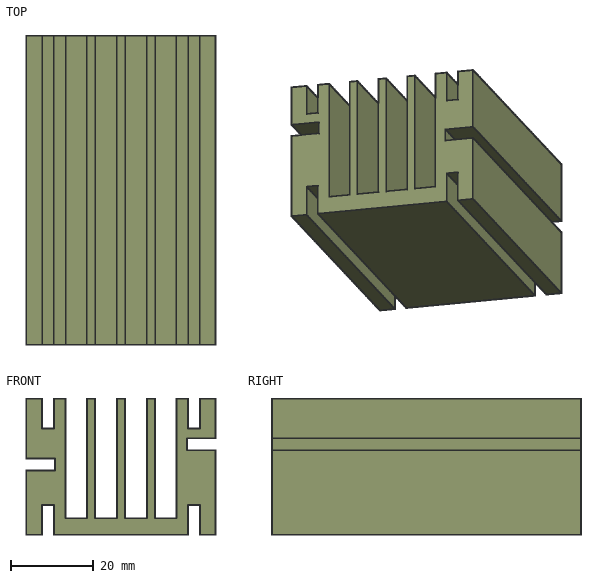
import cadquery as cq

width = 46.0
length = 75.0
height = 33.0

base_thickness = 4.05
block_width = 9.5
fin_count = 3
fin_thickness = 1.95
fin_pitch = 7.3

slot_width = 2.85
slot_depth = 7.2
slot_edge_distance = 3.8
side_slot_depth = 7.0
left_slot_bottom = 15.6
right_slot_bottom = 20.55


def bar(x_start, z_start, x_size, z_size):
    """Full-length rectangular bar placed by its lower left corner in the XZ section."""
    corner = (x_start, -length / 2, z_start)
    return cq.Workplane("XY").box(x_size, length, z_size, centered=False).translate(corner)


left = -width / 2
right = width / 2

result = bar(left, 0, width, base_thickness)
for block_left in (left, right - block_width):
    result = result.union(bar(block_left, 0, block_width, height))

for index in range(fin_count):
    fin_center = (index - (fin_count - 1) / 2) * fin_pitch
    fin_left = fin_center - fin_thickness / 2
    result = result.union(bar(fin_left, 0, fin_thickness, height))

for slot_left in (left + slot_edge_distance, right - slot_edge_distance - slot_width):
    for slot_bottom in (0, height - slot_depth):
        result = result.cut(bar(slot_left, slot_bottom, slot_width, slot_depth))

result = result.cut(bar(left, left_slot_bottom, side_slot_depth, slot_width))
result = result.cut(bar(right - side_slot_depth, right_slot_bottom, side_slot_depth, slot_width))